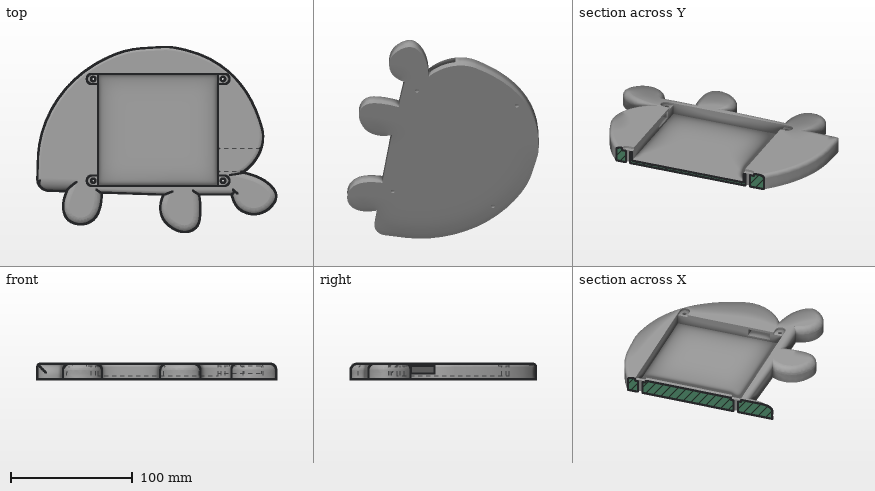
import cadquery as cq
import math


thickness = 13.0
shell_round = 3.0
belly_round_rear = 10.0
belly_round_front = 4.0
tail_corner_radius = 10.0

tail_x = -98.2
tail_corner_y = -41.85
crown_joint = (23.5, 73.7)
nose_joint = (86.6, 9.0)
throat = (57.5, -32.4)
belly_break = (-1.0, -45.15)
belly_end = (66.0, belly_break[1])
dome_points = [(-94.7, 4.4), (-74.5, 42.0), (-38.8, 68.1), (-19.9, 74.1), (2.0, 75.95), crown_joint]
brow_points = [(63.1, 51.9), nose_joint]
chin_points = [(82.6, -14.5), (72.0, -26.1), throat]
dome_start_direction = (0, 1)
crown_direction = (1, -0.245)
nose_direction = (0.27, -1)
throat_direction = (-1, -0.32)

rear_foot = [
    (-68.5, -30.0), (-74.6, -44.0), (-77.0, -54.0), (-74.0, -64.6), (-62.5, -69.8),
    (-51.5, -65.3), (-46.2, -54.7), (-45.0, -44.0), (-45.0, -37.0),
]
middle_foot = [
    (8.5, -40.5), (4.3, -48.0), (2.8, -56.0), (5.2, -65.3), (13.7, -73.3), (23.9, -76.1),
    (32.6, -72.0), (35.9, -60.0), (35.6, -50.0), (33.9, -40.0),
]
front_foot = [
    (42.0, -23.0), (60.0, -24.9), (75.5, -28.1), (92.7, -36.9), (98.2, -46.0), (92.7, -56.4),
    (78.2, -61.4), (65.5, -54.7), (61.4, -45.4), (59.0, -38.0),
]
foot_round = 5.5
front_foot_round = 5.0

pocket_left, pocket_right = -48.3, 50.5
pocket_bottom, pocket_top = -38.1, 54.0
pocket_floor = 3.0
pad_reach = 9.2
pad_width = 8.5
pad_corner_radius = 4.2
pad_depth = 2.0
screw_diameter = 3.4
screw_offset = 3.9
cable_y_low, cable_y_high = -26.4, -7.3
cable_z_low, cable_z_high = 5.0, 11.0
cable_exit_x = 95.0

cutter_margin = 5.0
rear_foot_middle_x = -60.0
middle_foot_middle_x = 20.0


def nearest(x, y, z):
    """Selector for the edge whose middle lies closest to the given point."""
    return cq.selectors.NearestToPointSelector((x, y, z))


def shell_outline():
    """Closed plan outline of the body, with a sharp lower left corner."""
    return (
        cq.Workplane("XY")
        .moveTo(*belly_end)
        .lineTo(*belly_break)
        .lineTo(tail_x, tail_corner_y)
        .lineTo(tail_x, tail_corner_y + tail_corner_radius)
        .spline(dome_points, tangents=[dome_start_direction, crown_direction], includeCurrent=True)
        .spline(brow_points, tangents=[crown_direction, nose_direction], includeCurrent=True)
        .spline(chin_points, tangents=[nose_direction, throat_direction], includeCurrent=True)
        .close()
    )


def belly_cutter(start, end, radius):
    """Material outside a quarter-round edge that runs along the belly from start to end."""
    along = cq.Vector(end[0] - start[0], end[1] - start[1], 0)
    outward = cq.Vector(along.y, -along.x, 0)
    plane = cq.Plane(origin=(start[0], start[1], thickness), xDir=outward, normal=along.multiply(-1))
    arc_middle = radius * math.sqrt(0.5) - radius
    return (
        cq.Workplane(plane)
        .moveTo(-radius, 0)
        .threePointArc((arc_middle, arc_middle), (0, -radius))
        .lineTo(cutter_margin, -radius)
        .lineTo(cutter_margin, cutter_margin)
        .lineTo(-radius, cutter_margin)
        .close()
        .extrude(-along.Length)
    )


def point_on_rear_belly(x):
    """Point of the sloping rear belly line at the given x."""
    slope = (belly_break[1] - tail_corner_y) / (belly_break[0] - tail_x)
    return (x, tail_corner_y + slope * (x - tail_x))


def make_body():
    """Domed plate with its upper edge rounded, more strongly along the rear and front belly."""
    body = shell_outline().extrude(thickness)
    body = body.edges(nearest(tail_x, tail_corner_y, thickness / 2)).fillet(tail_corner_radius)
    body = body.edges(nearest(*dome_points[2], thickness)).fillet(shell_round)
    rear_start = point_on_rear_belly(tail_x - cutter_margin)
    rear_end = point_on_rear_belly(rear_foot_middle_x)
    body = body.cut(belly_cutter(rear_start, rear_end, belly_round_rear))
    front_start = (middle_foot_middle_x, belly_end[1])
    return body.cut(belly_cutter(front_start, belly_end, belly_round_front))


def make_foot(points, edge_round):
    """Teardrop foot whose straight root side lies inside the body."""
    outline = cq.Workplane("XY").moveTo(*points[0]).spline(points[1:], includeCurrent=True).close()
    foot = outline.extrude(thickness)
    tip = points[len(points) // 2]
    return foot.edges(nearest(*tip, thickness)).fillet(edge_round)


def make_pocket():
    """Rectangular recess for the panel."""
    return (
        cq.Workplane("XY", origin=(0, 0, pocket_floor))
        .moveTo(pocket_left, pocket_bottom)
        .lineTo(pocket_right, pocket_bottom)
        .lineTo(pocket_right, pocket_top)
        .lineTo(pocket_left, pocket_top)
        .close()
        .extrude(thickness)
    )


def make_screw_pad(side_x, outward, center_y):
    """Shallow pad recess beside the pocket with a through screw hole."""
    pad = (
        cq.Workplane("XY", origin=(side_x, center_y, thickness - pad_depth))
        .rect(2 * pad_reach, pad_width)
        .extrude(thickness)
        .edges("|Z")
        .fillet(pad_corner_radius)
    )
    screw_x = side_x + outward * screw_offset
    hole = cq.Workplane("XY").center(screw_x, center_y).circle(screw_diameter / 2).extrude(thickness)
    return pad.union(hole)


def make_cable_opening():
    """Slot from the pocket's front side wall out through the shell."""
    length = cable_exit_x - pocket_right
    width = cable_y_high - cable_y_low
    height = cable_z_high - cable_z_low
    corner = (pocket_right, cable_y_low, cable_z_low)
    return cq.Workplane("XY", origin=corner).box(length, width, height, centered=False)


result = make_body()
result = result.union(make_foot(rear_foot, foot_round))
result = result.union(make_foot(middle_foot, foot_round))
result = result.union(make_foot(front_foot, front_foot_round))
result = result.cut(make_pocket())
for pad_y in (pocket_bottom + pad_width / 2, pocket_top - pad_width / 2):
    result = result.cut(make_screw_pad(pocket_left, -1, pad_y))
    result = result.cut(make_screw_pad(pocket_right, 1, pad_y))
result = result.cut(make_cable_opening())